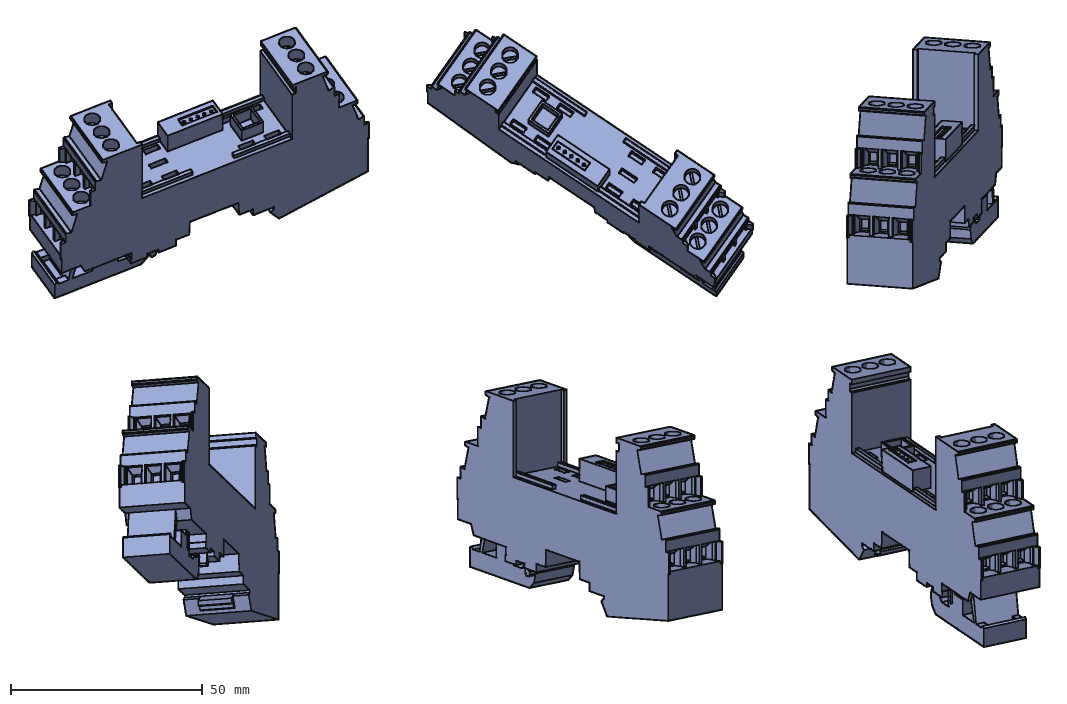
import cadquery as cq

WIDTH = 17.7
HALF_WIDTH = WIDTH / 2
LENGTH = 91.05
HALF_LENGTH = LENGTH / 2
HEIGHT = 51.0
FLOOR_Z = 30.3
BACK_TOWER_Y = 22.8
FRONT_TOWER_Y = -21.5
BODY_END_Y = 45.25

GROOVE_BOTTOM_Z = 47.35
GROOVE_TOP_Z = 49.6
GROOVE_SILL_Y = 23.7
GROOVE_BACK_Y = 23.95
GROOVE_BACK_Z = 48.0
INNER_LIP_Y = 22.9

TIER_DROP = 15.7
TIER_STEP_OUT = 8.8
TIER_TOPS = (HEIGHT, HEIGHT - TIER_DROP)
CHEEK_LENGTH = 1.4
PITCH = 5.2
POLES = (-PITCH, 0, PITCH)
FACE_Y = HALF_LENGTH - TIER_STEP_OUT - CHEEK_LENGTH
LIP_Y = 33.4
NECK_Y = 31.9
LIP_THICKNESS = 1.1
LIP_CHAMFER = 0.3
SHELF_DROP = 7.3
SHELF_RIM = 0.3
SHELF_INNER_Y = 33.6
ENTRY_WIDTH = 4.4
ENTRY_HEIGHT = 5.2
ENTRY_DEPTH = 1.4
FUNNEL_DEPTH = 1.4
CLAMP_WIDTH = 2.4
CLAMP_HEIGHT = 3.0
CLAMP_LIFT = 0.5
CLAMP_DEPTH = 1.8
CHEEK_TIP = 0.5
CHEEK_ROOT = 1.1
CHEEK_DROP = 0.6

SCREW_Y = 28.8
SCREW_RADIUS = 2.1
SCREW_DEPTH = 3.6
DRIVE_WIDTH = 0.6
DRIVE_DEPTH = 0.55

RAIL_INNER_X = 6.65
RAIL_OUTER_X = 7.7
RAIL_HEIGHT = 1.1
RAIL_GAP = (-6.0, 6.3)
RECESS_DEPTH = 1.0
VENT_X = 5.2
VENT_SIZE = (1.55, 4.3)
VENT_CENTERS_Y = (19.0, 11.4, -11.2, -18.9)
KEY_SLOT_SIZE = (1.5, 4.8)
KEY_SLOT_Y = -12.0
SLOT_DEPTH = 2.3
SOCKET_SIZE = 6.4
SOCKET_WALL = 0.6
SOCKET_Y = 14.1
SOCKET_TOP = 34.2
HEADER_X = (-8.0, -2.55)
HEADER_Y = (-7.9, 8.4)
HEADER_TOP = 36.4
PIN_X = -5.2
PIN_CENTER_Y = 2.4
PIN_PITCH = 2.0
PIN_COUNT = 5
PIN_RADIUS = 0.41
PIN_DEPTH = 1.4
PIN_FIELD = (2.5, 10.2)
PIN_FIELD_DEPTH = 0.5

CLAW_OUTER_Z = 6.4
CLAW_ROOT_Y = 17.5
CLAW_ROOT_Z = 6.2
BACK_SEAT_Y = 11.3
FRONT_SEAT_Y = -11.5
SEAT_Z = 6.8
STEP_Z = 9.1
CHANNEL_Z = 13.8
LATCH_ROOF_Z = 8.0
BAY_ROOF_Z = 10.7
FOOT_X = (-7.8, 4.8)
FOOT_END_Y = -BODY_END_Y
FOOT_TOP_Z = 5.0
RIM_INNER_Y = -43.9
POST_SHOULDER_Y = -34.0
POST_SHOULDER_Z = 9.4
POST_OUTER_Y = -29.8
POST_SLIT_Y = (-28.4, -27.4)
POST_INNER_Y = -26.5
JAW_LOW_Z = 4.6
JAW_HIGH_Z = 6.0
LEAF_CORNER_Y = -38.4
LEAF_TOP_Y = -39.6
LEAF_TOP_Z = 13.6
LEAF_OUTER_Y = -41.25
LEAF_INNER_Y = -40.0
LEAF_ROOT_Z = 4.3
POCKET_X = (-5.5, 3.0)
POCKET_FLOOR_Z = 3.2
LATCH_X = (5.3, 7.2)
LATCH_BACK_Y = -18.3
LATCH_STEM_Y = -17.5
LATCH_TIP_Y = -16.5
LATCH_BOTTOM_Z = 4.1
LATCH_BEVEL_Z = 4.6
HOOK_HALF_WIDTH = 4.55


def prism(points, x_range):
    """Extrude a (Y, Z) outline between two X positions."""
    return (
        cq.Workplane("YZ", origin=(x_range[0], 0, 0))
        .polyline(points)
        .close()
        .extrude(x_range[1] - x_range[0])
    )


def block(x_range, y_range, z_range):
    return cq.Workplane("XY").box(
        x_range[1] - x_range[0],
        y_range[1] - y_range[0],
        z_range[1] - z_range[0],
        centered=False,
    ).translate((x_range[0], y_range[0], z_range[0]))


def tier_outline(top_z, step_out):
    """Outer edge of one tier, from its top lip down to its entry floor (+Y side)."""
    lip = LIP_Y + step_out
    neck = NECK_Y + step_out
    face = FACE_Y + step_out
    shelf_z = top_z - SHELF_DROP
    return [
        (lip - LIP_CHAMFER, top_z),
        (lip, top_z - LIP_CHAMFER),
        (lip, top_z - LIP_THICKNESS + LIP_CHAMFER),
        (lip - LIP_CHAMFER, top_z - LIP_THICKNESS),
        (neck, top_z - LIP_THICKNESS - LIP_CHAMFER),
        (SHELF_INNER_Y + step_out, shelf_z - SHELF_RIM),
        (face - LIP_CHAMFER, shelf_z + SHELF_RIM / 2),
        (face, shelf_z - SHELF_RIM / 2),
        (face, top_z - TIER_DROP),
    ]


def housing():
    end_steps = []
    for index, top_z in enumerate(TIER_TOPS):
        end_steps += tier_outline(top_z, index * TIER_STEP_OUT)
    end_steps.append((BODY_END_Y, TIER_TOPS[-1] - TIER_DROP))
    front_steps = [(-y, z) for y, z in reversed(end_steps)]

    back_inner = [
        (BACK_TOWER_Y, FLOOR_Z),
        (BACK_TOWER_Y, GROOVE_BOTTOM_Z),
        (GROOVE_SILL_Y, GROOVE_BOTTOM_Z),
        (GROOVE_BACK_Y, GROOVE_BACK_Z),
        (GROOVE_BACK_Y, GROOVE_TOP_Z),
        (INNER_LIP_Y, GROOVE_TOP_Z),
        (INNER_LIP_Y, HEIGHT),
    ]
    claw = [
        (BODY_END_Y, CLAW_OUTER_Z),
        (18.9, 1.6),
        (16.4, 5.3),
        (CLAW_ROOT_Y, CLAW_ROOT_Z),
        (CLAW_ROOT_Y, SEAT_Z),
    ]
    rail_seats = [
        (BACK_SEAT_Y, SEAT_Z),
        (BACK_SEAT_Y, STEP_Z),
        (7.2, STEP_Z),
        (6.9, CHANNEL_Z),
        (-7.4, CHANNEL_Z),
        (-7.6, STEP_Z),
        (FRONT_SEAT_Y, STEP_Z),
        (FRONT_SEAT_Y, SEAT_Z),
    ]
    latch_notch = [
        (-16.7, SEAT_Z),
        (-16.7, LATCH_ROOF_Z),
        (-20.0, LATCH_ROOF_Z),
        (-20.1, SEAT_Z),
    ]
    foot_bay = [
        (-24.9, SEAT_Z),
        (-24.9, 8.5),
        (-24.6, 8.5),
        (-24.6, BAY_ROOF_Z),
        (LEAF_CORNER_Y, BAY_ROOF_Z),
        (LEAF_TOP_Y, LEAF_TOP_Z),
        (-BODY_END_Y, LEAF_TOP_Z),
    ]
    underside = claw + rail_seats + latch_notch + foot_bay
    front_inner = [(FRONT_TOWER_Y, HEIGHT), (FRONT_TOWER_Y, FLOOR_Z)]
    outline = back_inner + end_steps + underside + front_steps + front_inner
    return prism(outline, (-HALF_WIDTH, HALF_WIDTH))


def wire_entry(x, face_y, floor_z):
    """Flat-floored funnel ending at a rectangular clamp mouth, entered from the +Y side."""
    mouth = cq.Workplane("XZ", origin=(x, face_y, floor_z))
    clamp_z = CLAMP_LIFT + CLAMP_HEIGHT / 2
    throat_height = CLAMP_LIFT + CLAMP_HEIGHT
    opening = mouth.center(0, ENTRY_HEIGHT / 2).rect(ENTRY_WIDTH, ENTRY_HEIGHT).extrude(ENTRY_DEPTH)
    funnel = (
        mouth.workplane(offset=ENTRY_DEPTH)
        .center(0, ENTRY_HEIGHT / 2)
        .rect(ENTRY_WIDTH, ENTRY_HEIGHT)
        .workplane(offset=FUNNEL_DEPTH)
        .center(0, (throat_height - ENTRY_HEIGHT) / 2)
        .rect(CLAMP_WIDTH, throat_height)
        .loft(combine=True)
    )
    clamp = (
        mouth.workplane(offset=ENTRY_DEPTH + FUNNEL_DEPTH)
        .center(0, clamp_z)
        .rect(CLAMP_WIDTH, CLAMP_HEIGHT)
        .extrude(CLAMP_DEPTH)
    )
    return opening.union(funnel).union(clamp)


def cheek(face_y, floor_z):
    """Tapered cheek on the -X side of the wire entries."""
    tip_y = face_y + CHEEK_LENGTH
    return (
        cq.Workplane("XY", origin=(0, 0, floor_z - CHEEK_DROP))
        .polyline([
            (-HALF_WIDTH, face_y),
            (-HALF_WIDTH, tip_y),
            (-HALF_WIDTH + CHEEK_TIP, tip_y),
            (-HALF_WIDTH + CHEEK_ROOT, face_y),
        ])
        .close()
        .extrude(ENTRY_HEIGHT + CHEEK_DROP)
    )


def screw_well(x, y, top_z):
    """Round well with a slanted driver slot in its bottom."""
    bottom_z = top_z - SCREW_DEPTH
    well = cq.Workplane("XY", origin=(x, y, bottom_z)).circle(SCREW_RADIUS).extrude(SCREW_DEPTH)
    drive = (
        cq.Workplane("XY", origin=(x, y, bottom_z))
        .transformed(rotate=(0, 0, -45))
        .rect(2 * SCREW_RADIUS, DRIVE_WIDTH)
        .extrude(-DRIVE_DEPTH)
    )
    return well.union(drive)


def at_both_ends(feature):
    return [feature, feature.mirror("XZ")]


def add_terminals(body):
    for index, top_z in enumerate(TIER_TOPS):
        step_out = index * TIER_STEP_OUT
        face_y = FACE_Y + step_out
        floor_z = top_z - TIER_DROP
        left_cheek = cheek(face_y, floor_z)
        for side in (left_cheek, left_cheek.mirror("YZ")):
            for feature in at_both_ends(side):
                body = body.union(feature)
        for x in POLES:
            cuts = at_both_ends(wire_entry(x, face_y, floor_z))
            cuts += at_both_ends(screw_well(x, SCREW_Y + step_out, top_z))
            for feature in cuts:
                body = body.cut(feature)
    return body


def add_deck(body):
    recess_y = FRONT_TOWER_Y - RECESS_DEPTH
    body = body.cut(
        block((-RAIL_OUTER_X, RAIL_OUTER_X), (recess_y, FRONT_TOWER_Y), (FLOOR_Z, HEIGHT))
    )
    rail_z = (FLOOR_Z, FLOOR_Z + RAIL_HEIGHT)
    body = body.union(block((-RAIL_OUTER_X, -RAIL_INNER_X), (recess_y, BACK_TOWER_Y), rail_z))
    for y_range in ((recess_y, RAIL_GAP[0]), (RAIL_GAP[1], BACK_TOWER_Y)):
        body = body.union(block((RAIL_INNER_X, RAIL_OUTER_X), y_range, rail_z))

    deck = cq.Workplane("XY", origin=(0, 0, FLOOR_Z))
    vent_points = [(x, y) for x in (-VENT_X, VENT_X) for y in VENT_CENTERS_Y]
    body = body.cut(deck.pushPoints(vent_points).rect(*VENT_SIZE).extrude(-SLOT_DEPTH))
    body = body.cut(deck.center(0, KEY_SLOT_Y).rect(*KEY_SLOT_SIZE).extrude(-SLOT_DEPTH))

    opening = SOCKET_SIZE - 2 * SOCKET_WALL
    socket = (
        deck.center(0, SOCKET_Y)
        .rect(SOCKET_SIZE, SOCKET_SIZE)
        .rect(opening, opening)
        .extrude(SOCKET_TOP - FLOOR_Z)
    )
    return body.union(socket)


def add_header(body):
    body = body.union(block(HEADER_X, HEADER_Y, (FLOOR_Z, HEADER_TOP)))
    top = cq.Workplane("XY", origin=(PIN_X, PIN_CENTER_Y, HEADER_TOP))
    body = body.cut(top.rect(*PIN_FIELD).extrude(-PIN_FIELD_DEPTH))
    pins = top.rarray(0.9, PIN_PITCH, 1, PIN_COUNT).circle(PIN_RADIUS)
    return body.cut(pins.extrude(-PIN_FIELD_DEPTH - PIN_DEPTH))


def rail_hook():
    """Nose of the fixed claw on the +Y side of the mounting rail."""
    outline = [
        (18.1, 2.5),
        (17.2, 2.4),
        (16.7, 3.3),
        (15.7, 3.2),
        (15.2, 4.4),
        (CLAW_ROOT_Y, CLAW_ROOT_Z),
        (18.7, 4.55),
    ]
    return prism(outline, (-HOOK_HALF_WIDTH, HOOK_HALF_WIDTH))


def foot():
    """Sliding foot with its gripping end, slit post and slanted spring leaf."""
    outline = [
        (-19.7, 0),
        (FOOT_END_Y, 0),
        (FOOT_END_Y, 5.3),
        (-44.6, 5.7),
        (RIM_INNER_Y, FOOT_TOP_Z),
        (POST_SHOULDER_Y, FOOT_TOP_Z),
        (POST_SHOULDER_Y, POST_SHOULDER_Z),
        (POST_OUTER_Y, POST_SHOULDER_Z),
        (POST_OUTER_Y, BAY_ROOF_Z),
        (POST_SLIT_Y[0], BAY_ROOF_Z),
        (POST_SLIT_Y[0], 6.4),
        (POST_SLIT_Y[1], 5.7),
        (POST_SLIT_Y[1], BAY_ROOF_Z),
        (POST_INNER_Y, BAY_ROOF_Z),
        (POST_INNER_Y, JAW_LOW_Z),
        (-22.9, JAW_LOW_Z),
        (-21.6, JAW_HIGH_Z),
        (-19.6, JAW_HIGH_Z),
        (-19.1, SEAT_Z),
        (-17.7, SEAT_Z),
        (-17.0, 4.55),
        (-17.8, 1.8),
    ]
    leaf = [
        (LEAF_CORNER_Y, BAY_ROOF_Z),
        (LEAF_TOP_Y, LEAF_TOP_Z),
        (LEAF_OUTER_Y, LEAF_ROOT_Z),
        (LEAF_OUTER_Y, POCKET_FLOOR_Z),
        (LEAF_INNER_Y, POCKET_FLOOR_Z),
        (LEAF_INNER_Y, FOOT_TOP_Z),
    ]
    pocket = block(POCKET_X, (RIM_INNER_Y, LEAF_INNER_Y), (POCKET_FLOOR_Z, FOOT_TOP_Z))
    return prism(outline, FOOT_X).cut(pocket).union(prism(leaf, FOOT_X))


def latch():
    """Small barbed latch hanging beside the foot."""
    outline = [
        (LATCH_BACK_Y, LATCH_ROOF_Z),
        (LATCH_STEM_Y, LATCH_ROOF_Z),
        (LATCH_STEM_Y, 6.2),
        (LATCH_TIP_Y, 5.55),
        (LATCH_TIP_Y, LATCH_BEVEL_Z),
        (-17.1, LATCH_BOTTOM_Z),
        (-17.85, LATCH_BOTTOM_Z),
        (LATCH_BACK_Y, LATCH_BEVEL_Z),
    ]
    return prism(outline, LATCH_X)


result = add_header(add_deck(add_terminals(housing())))
for part in (rail_hook(), foot(), latch()):
    result = result.union(part)